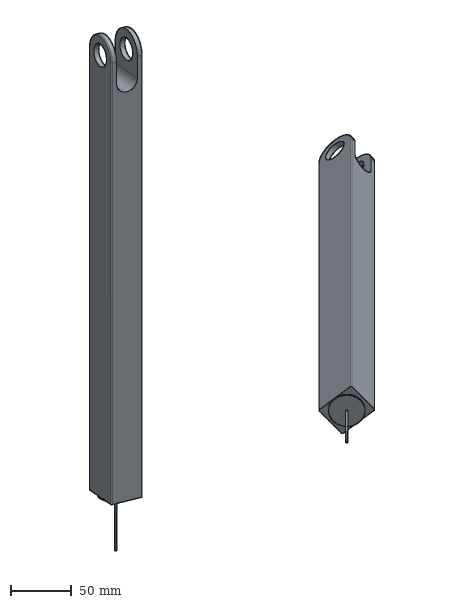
import cadquery as cq

total_height = 470.0
width = 35.5
depth = 30.0
rim_radius = 1.0

rod_diameter = 2.0
rod_length = 50.5
collar_diameter = depth
collar_height = 1.5

pin_hole_diameter = 20.0
slot_width = 20.0
slot_depth = 47.5

bar_bottom = rod_length + collar_height
ear_radius = width / 2
pin_height = total_height - ear_radius


def make_bar():
    """Bar with a round top, rounded along the sides and over the arch."""
    bar = (
        cq.Workplane("XZ")
        .moveTo(-ear_radius, bar_bottom)
        .lineTo(-ear_radius, pin_height)
        .threePointArc((0, total_height), (ear_radius, pin_height))
        .lineTo(ear_radius, bar_bottom)
        .close()
        .extrude(depth / 2, both=True)
    )
    rim_edges = bar.faces("<Y or >Y").edges("not <Z")
    return rim_edges.fillet(rim_radius)


def make_fork_slot():
    """Round-bottomed slot that passes through the bar along X."""
    slot_radius = slot_width / 2
    slot_bottom = total_height - slot_depth
    arc_height = slot_bottom + slot_radius
    return (
        cq.Workplane("YZ")
        .moveTo(-slot_radius, total_height)
        .lineTo(-slot_radius, arc_height)
        .threePointArc((0, slot_bottom), (slot_radius, arc_height))
        .lineTo(slot_radius, total_height)
        .close()
        .extrude(width / 2, both=True)
    )


def make_pin_hole():
    """Cross hole through both ears along Y."""
    return (
        cq.Workplane("XZ")
        .center(0, pin_height)
        .circle(pin_hole_diameter / 2)
        .extrude(depth / 2, both=True)
    )


collar = (
    cq.Workplane("XY")
    .workplane(offset=rod_length)
    .circle(collar_diameter / 2)
    .extrude(collar_height)
)
rod = cq.Workplane("XY").circle(rod_diameter / 2).extrude(rod_length)

fork_bar = make_bar().cut(make_fork_slot()).cut(make_pin_hole())
result = fork_bar.union(collar).union(rod)